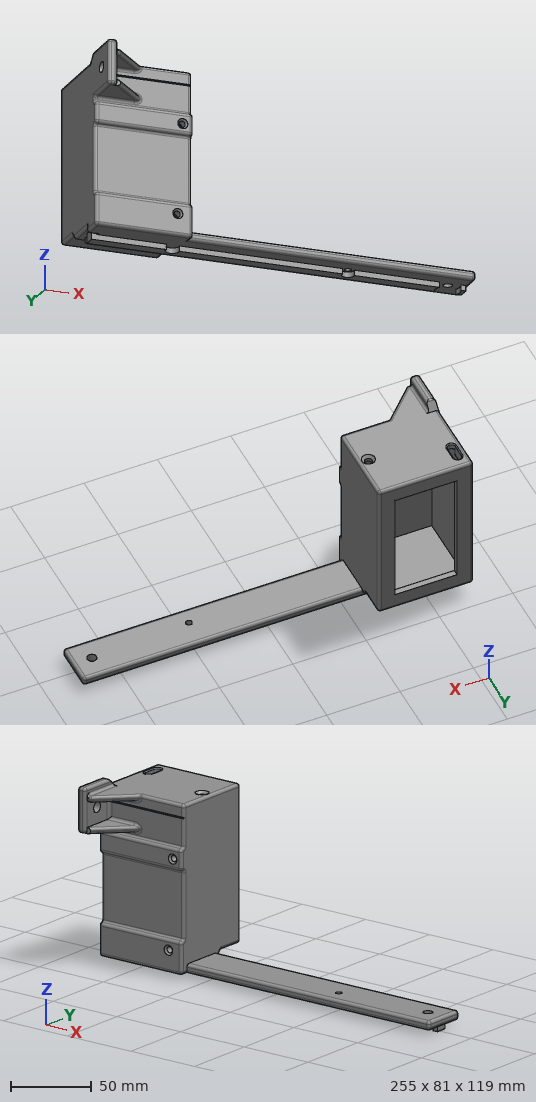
import cadquery as cq
import math

edge_round = 2.0
wall = 4.0

body_length = 64.8
body_top = 113.7
body_back_bottom = 10.2
ledge_bottom = 7.0
front_bottom = 3.5
slope_back = -19.0
ledge_back = slope_back - (body_back_bottom - ledge_bottom)
ledge_front = -44.0
band_face = -59.5
front_face = -56.9
lower_band_top = 25.5
upper_band_bottom = 71.0
upper_band_top = 85.5
band_outer_radius = 2.3
band_inner_radius = 1.5

window_margin = 11.2

seam_z = 105.0
seam_width = 0.8
seam_depth = 0.8

flange_thickness = 6.0

flange_tip = -81.0
flange_top = 119.0
flange_bottom = 89.2
flange_slope_end = -56.9
flange_root = flange_slope_end + (flange_top - body_top)
flange_heel = flange_root + edge_round
flange_hole_y = -69.0
flange_hole_z = 104.0
flange_hole = 7.0
web_thickness = wall
web_round = 1.8
web_tip_length = 6.6
top_joint_round = 1.8

arm_start = 6.0
arm_end = 255.0
arm_center = -38.8
arm_width = 30.0
arm_thickness = 6.0
arm_bottom = front_bottom
rail_start = 3.8
rail_end = 252.7
rail_width = 8.0

end_hole = 6.0
pilot_hole = 4.0
front_hole = 4.0
end_hole_x = 242.2
end_relief = 16.3
pilot_y = -41.8
pilot_x = 174.7
pilot_relief = 8.0
near_relief_x = 58.0
near_relief = 9.0
top_hole_x = 58.0
top_hole_y = -29.8
top_hole = 5.0
top_sink = 8.7
front_sink = 6.6
front_holes = [(58.0, 78.0), (54.5, 18.0)]
sink_angle = 90

slot_x = 6.6
slot_y = -13.8
slot_length = 14.3
slot_width = 5.4
slot_chamfer = 0.8

def box(x0, x1, y0, y1, z0, z1):
    """Box between two opposite corners."""
    return cq.Workplane("XY").box(x1 - x0, y1 - y0, z1 - z0, centered=False).translate((x0, y0, z0))

def band_edge(edge_z, band_side):
    """Points of the two tangent arcs from the front wall out to a raised band.

    The arcs meet at edge_z; band_side is +1 if the band lies above edge_z and -1 if below.
    """
    turn = math.acos(1 - (front_face - band_face) / (band_outer_radius + band_inner_radius))
    junction_rise = band_inner_radius * math.sin(turn)
    outer_rise = band_outer_radius * math.sin(turn)

    def on_inner(angle):
        rise = band_inner_radius * math.sin(angle) - junction_rise
        return (front_face - band_inner_radius * (1 - math.cos(angle)), edge_z + band_side * rise)

    def on_outer(angle):
        rise = outer_rise - band_outer_radius * math.sin(angle)
        return (band_face + band_outer_radius * (1 - math.cos(angle)), edge_z + band_side * rise)

    return [on_inner(0), on_inner(turn / 2), on_inner(turn), on_outer(turn / 2), on_outer(0)]

def follow_arcs(profile, points):
    """Continue a profile to the first point, then along the two arcs through the rest."""
    profile = profile.lineTo(*points[0])
    return profile.threePointArc(points[1], points[2]).threePointArc(points[3], points[4])

def make_body():
    profile = cq.Workplane("YZ").moveTo(0, body_top).lineTo(0, body_back_bottom)
    profile = profile.lineTo(slope_back, body_back_bottom).lineTo(ledge_back, ledge_bottom)
    profile = profile.lineTo(ledge_front, ledge_bottom).lineTo(ledge_front, front_bottom)
    profile = profile.lineTo(band_face, front_bottom)
    profile = follow_arcs(profile, band_edge(lower_band_top, -1)[::-1])
    profile = follow_arcs(profile, band_edge(upper_band_bottom, 1))
    profile = follow_arcs(profile, band_edge(upper_band_top, -1)[::-1])
    profile = profile.lineTo(front_face, body_top).close()
    body = profile.extrude(body_length)
    corners = [(0, body_top), (0, body_back_bottom), (band_face, front_bottom), (front_face, body_top)]
    for y, z in corners:
        body = body.edges(cq.NearestToPointSelector((body_length / 2, y, z))).fillet(edge_round)
    return body.faces("<X or >X").edges().fillet(edge_round)

def make_flange():
    outline = [
        (flange_heel, flange_bottom),
        (flange_tip, flange_bottom),
        (flange_tip, flange_top),
        (flange_slope_end, flange_top),
        (flange_heel, body_top - edge_round),
    ]
    plate = cq.Workplane("YZ").polyline(outline).close().extrude(flange_thickness)
    plate = plate.edges(">Z or <Y or <Z").fillet(edge_round)
    return plate

def make_web(bottom):
    """Triangular web bracing the flange, sloping back at 45 degrees to the front wall."""
    tip = flange_tip + edge_round
    root = front_face + edge_round
    x_root = flange_thickness / 2
    x_tip = web_tip_length + edge_round
    outline = [(x_root, root), (x_root, tip), (x_tip, tip), (x_tip + root - tip, root)]
    return cq.Workplane("XY", origin=(0, 0, bottom)).polyline(outline).close().extrude(web_thickness)

def make_shell():
    """Housing, flange and webs with their joints blended, before any opening is cut."""
    shell = make_body().union(make_flange())
    for bottom in (flange_bottom, body_top - web_thickness):
        shell = shell.union(make_web(bottom))
    shell = shell.edges("|(1, 1, 0)").fillet(web_round)
    margin = 0.13
    web_reach = web_tip_length + front_face - flange_tip
    wall_joints = cq.selectors.BoxSelector(
        (0, front_face - margin, flange_bottom - margin),
        (web_reach + margin, front_face + margin, body_top),
        boundingbox=True,
    )
    shell = shell.edges(wall_joints).fillet(edge_round)
    top_joints = cq.selectors.BoxSelector(
        (flange_thickness - margin, flange_tip, body_top - margin),
        (flange_thickness + margin, flange_root + margin, body_top + margin),
        boundingbox=True,
    )
    return shell.edges(top_joints).fillet(top_joint_round)

def make_cavity():
    """Hollow of the housing together with its opening through the back wall."""
    floor = body_back_bottom + wall
    hollow = box(wall, body_length - wall, front_face + wall, -wall, floor, body_top - wall)
    window = box(
        window_margin,
        body_length - window_margin,
        -2 * wall,
        wall,
        body_back_bottom + window_margin,
        body_top - window_margin,
    )
    return hollow.union(window)

def make_seam():
    return box(
        flange_thickness,
        body_length,
        front_face,
        front_face + seam_depth,
        seam_z - seam_width / 2,
        seam_z + seam_width / 2,
    )

def make_arm():
    arm = box(
        arm_start,
        arm_end,
        arm_center - arm_width / 2,
        arm_center + arm_width / 2,
        arm_bottom,
        arm_bottom + arm_thickness,
    )
    return arm.edges().fillet(edge_round)

def relief(x, y, diameter):
    """Round clearance cut up from the underside of the rail to that of the arm."""
    return cq.Workplane("XY").center(x, y).circle(diameter / 2).extrude(arm_bottom)

def make_rail():
    rail = box(
        rail_start,
        rail_end,
        arm_center - rail_width / 2,
        arm_center + rail_width / 2,
        0,
        arm_bottom + arm_thickness / 2,
    )
    reliefs = [
        (end_hole_x, arm_center, end_relief),
        (pilot_x, pilot_y, pilot_relief),
        (near_relief_x, pilot_y, near_relief),
    ]
    for x, y, diameter in reliefs:
        rail = rail.cut(relief(x, y, diameter))
    return rail

def drill_arm(part):
    for x, y, diameter in [(end_hole_x, arm_center, end_hole), (pilot_x, pilot_y, pilot_hole)]:
        drill = cq.Workplane("XY").center(x, y).circle(diameter / 2).extrude(body_back_bottom)
        part = part.cut(drill)
    return part

def drill_flange(part):
    drill = cq.Workplane("YZ").center(flange_hole_y, flange_hole_z).circle(flange_hole / 2)
    return part.cut(drill.extrude(flange_thickness))

def screw_hole(diameter, sink_diameter, depth):
    """Countersunk screw hole entering along -Z from the origin."""
    sink_depth = (sink_diameter - diameter) / 2 / math.tan(math.radians(sink_angle / 2))
    half_section = [
        (0, 0),
        (sink_diameter / 2, 0),
        (diameter / 2, -sink_depth),
        (diameter / 2, -depth),
        (0, -depth),
    ]
    return cq.Workplane("XZ").polyline(half_section).close().revolve(360, (0, 0), (0, 1))

def drill_housing(part):
    top_drill = screw_hole(top_hole, top_sink, 2 * wall)
    part = part.cut(top_drill.translate((top_hole_x, top_hole_y, body_top)))
    band_wall = front_face + wall - band_face
    front_drill = screw_hole(front_hole, front_sink, band_wall + wall)
    front_drill = front_drill.rotate((0, 0, 0), (1, 0, 0), 90)
    for x, z in front_holes:
        part = part.cut(front_drill.translate((x, band_face, z)))
    return part

def cut_slot(part):
    top = cq.Workplane("XY", origin=(slot_x, slot_y, body_top))
    slot = top.slot2D(slot_length, slot_width, 90).extrude(-2 * wall)
    mouth = top.slot2D(slot_length + 2 * slot_chamfer, slot_width + 2 * slot_chamfer, 90)
    mouth = mouth.extrude(-slot_chamfer, taper=45)
    return part.cut(slot).cut(mouth)

result = make_shell().cut(make_cavity()).cut(make_seam())
result = result.union(make_arm()).union(make_rail())
result = drill_arm(result)
result = drill_flange(result)
result = drill_housing(result)
result = cut_slot(result)